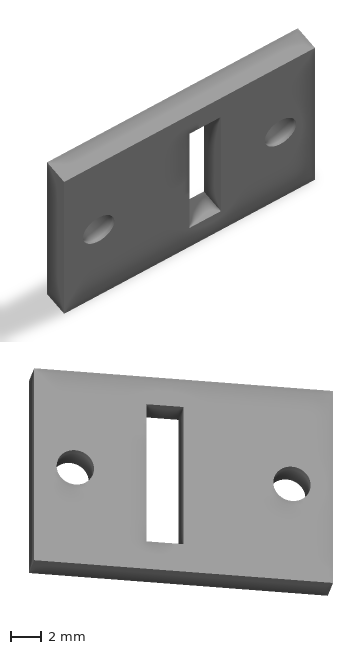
import cadquery as cq

thickness = 2.0
length = 20.0
height = 14.0

hole_diameter = 2.5
hole_spacing = 14.5

window_width = 2.5
window_height = 10.0
window_center_y = window_width / 2


def make_plate():
    return cq.Workplane("XY").box(thickness, length, height)


def cut_mounting_holes(body):
    hole_centers = [(-hole_spacing / 2, 0), (hole_spacing / 2, 0)]
    return body.faces(">X").workplane().pushPoints(hole_centers).hole(hole_diameter)


def cut_window(body):
    window = cq.Workplane("XY").box(thickness, window_width, window_height)
    return body.cut(window.translate((0, window_center_y, 0)))


result = cut_window(cut_mounting_holes(make_plate()))